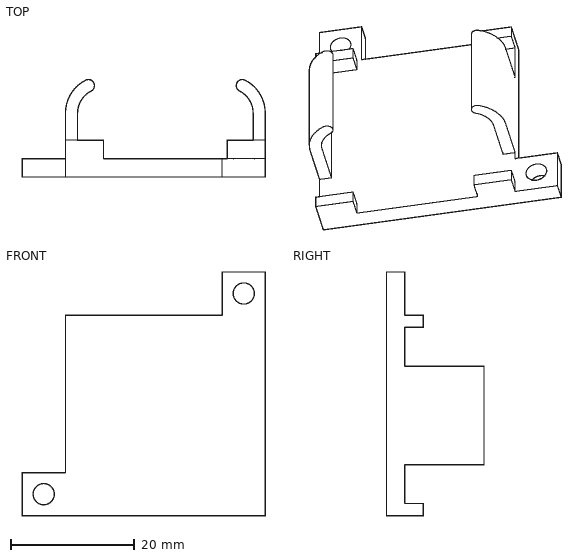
import cadquery as cq
import math

plate_width = 32.4
plate_height = 32.5
plate_thickness = 3.0

tab_size = 7.0
tab_hole_diameter = 3.4

block_width = 6.2
block_height = 2.0
block_depth = 3.0

arm_thickness = 2.0
arm_height = 16.0
arm_reach = 15.84
arm_bend_radius = 5.0
arm_bend_angle = math.radians(63)

plate_left = tab_size
plate_right = plate_left + plate_width
plate_center_x = plate_left + plate_width / 2
arm_bend_start = arm_reach - arm_thickness / 2 - arm_bend_radius * math.sin(arm_bend_angle)


def box(x, y, z, width, depth, height):
    """Box with its lowest corner at (x, y, z)."""
    return cq.Workplane("XY").box(width, depth, height, centered=False).translate((x, y, z))


def mirrored_pair(left_body):
    """The body together with its mirror image about the plate's middle plane."""
    right_body = left_body.translate((-plate_center_x, 0, 0)).mirror("YZ")
    return left_body.union(right_body.translate((plate_center_x, 0, 0)))


def make_plate():
    plate = box(plate_left, 0, 0, plate_width, plate_thickness, plate_height)
    tab_corners = [(0, 0), (plate_right - tab_size, plate_height)]
    for x, z in tab_corners:
        plate = plate.union(box(x, 0, z, tab_size, plate_thickness, tab_size))
    for x, z in tab_corners:
        hole = (
            cq.Workplane("XZ", origin=(x + tab_size / 2, 0, z + tab_size / 2))
            .circle(tab_hole_diameter / 2)
            .extrude(-plate_thickness)
        )
        plate = plate.cut(hole)
    return plate


def make_blocks():
    lower = box(plate_left, plate_thickness, 0, block_width, block_depth, block_height)
    upper = lower.translate((0, 0, plate_height - block_height))
    return mirrored_pair(lower.union(upper))


def make_arms():
    bend_center_x = plate_left + arm_thickness / 2 + arm_bend_radius
    outer_radius = arm_bend_radius + arm_thickness / 2
    inner_radius = arm_bend_radius - arm_thickness / 2

    def bend_point(radius, angle):
        x = bend_center_x - radius * math.cos(angle)
        y = arm_bend_start + radius * math.sin(angle)
        return (x, y)

    tip_x, tip_y = bend_point(arm_bend_radius, arm_bend_angle)
    tip_radius = arm_thickness / 2
    tip_point = (
        tip_x + tip_radius * math.sin(arm_bend_angle),
        tip_y + tip_radius * math.cos(arm_bend_angle),
    )

    arm_bottom = (plate_height - arm_height) / 2
    arm = (
        cq.Workplane("XY", origin=(0, 0, arm_bottom))
        .moveTo(plate_left, 0)
        .lineTo(plate_left, arm_bend_start)
        .threePointArc(bend_point(outer_radius, arm_bend_angle / 2), bend_point(outer_radius, arm_bend_angle))
        .threePointArc(tip_point, bend_point(inner_radius, arm_bend_angle))
        .threePointArc(bend_point(inner_radius, arm_bend_angle / 2), bend_point(inner_radius, 0))
        .lineTo(plate_left + arm_thickness, 0)
        .close()
        .extrude(arm_height)
    )
    return mirrored_pair(arm)


result = make_plate().union(make_blocks()).union(make_arms())